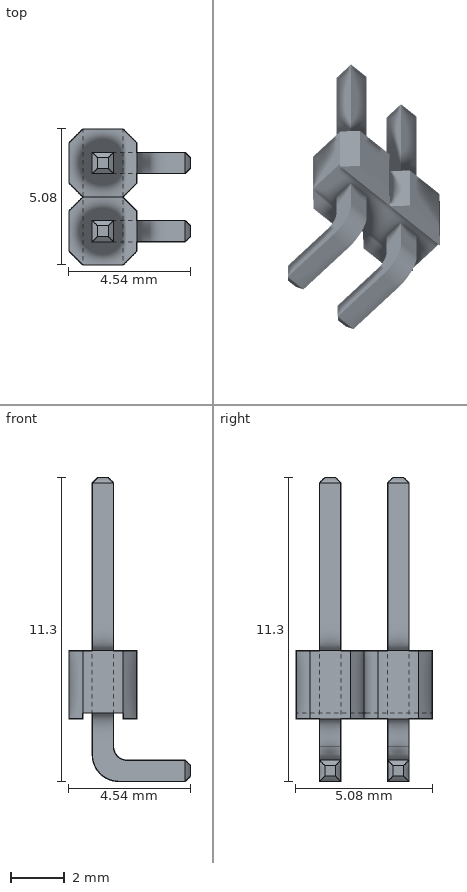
import cadquery as cq


pin_count = 2
pitch = 2.54

housing_size = pitch
housing_height = 2.54
corner_cut = 0.52
groove_depth = 0.21
groove_width = housing_size - 2 * corner_cut

overall_length_x = 4.54
overall_height = 11.34
pin_width = 0.8
pin_drop = 2.34
bend_outer_radius = 1.0
bend_inner_radius = 0.5
tip_taper = 0.2

half_pin = pin_width / 2
pin_bottom = -pin_drop
pin_top = pin_bottom + overall_height
tail_end = overall_length_x - housing_size / 2


def make_housing(y):
    """Block with cut vertical corners, a groove along Y underneath and a square pin hole."""
    block = (
        cq.Workplane("XY")
        .center(0, y)
        .rect(housing_size, housing_size)
        .extrude(housing_height)
        .edges("|Z")
        .chamfer(corner_cut)
    )
    groove = (
        cq.Workplane("XY")
        .center(0, y)
        .rect(groove_width, housing_size)
        .extrude(groove_depth)
    )
    pin_hole = (
        cq.Workplane("XY")
        .center(0, y)
        .rect(pin_width, pin_width)
        .extrude(housing_height)
    )
    return block.cut(groove).cut(pin_hole)


def make_pin(y):
    """Square wire bent from vertical to +X, with tapered tips at both ends."""
    wire = (
        cq.Workplane("XZ", origin=(0, y + half_pin, 0))
        .moveTo(-half_pin, pin_top)
        .lineTo(half_pin, pin_top)
        .lineTo(half_pin, pin_bottom + pin_width + bend_inner_radius)
        .radiusArc(
            (half_pin + bend_inner_radius, pin_bottom + pin_width),
            -bend_inner_radius,
        )
        .lineTo(tail_end, pin_bottom + pin_width)
        .lineTo(tail_end, pin_bottom)
        .lineTo(-half_pin + bend_outer_radius, pin_bottom)
        .radiusArc(
            (-half_pin, pin_bottom + bend_outer_radius),
            bend_outer_radius,
        )
        .close()
        .extrude(pin_width)
    )
    return wire.faces(">Z").chamfer(tip_taper).faces(">X").chamfer(tip_taper)


bodies = []
for index in range(pin_count):
    row_y = (index - (pin_count - 1) / 2) * pitch
    bodies.append(make_housing(row_y).solids().val())
    bodies.append(make_pin(row_y).solids().val())

result = cq.Compound.makeCompound(bodies)